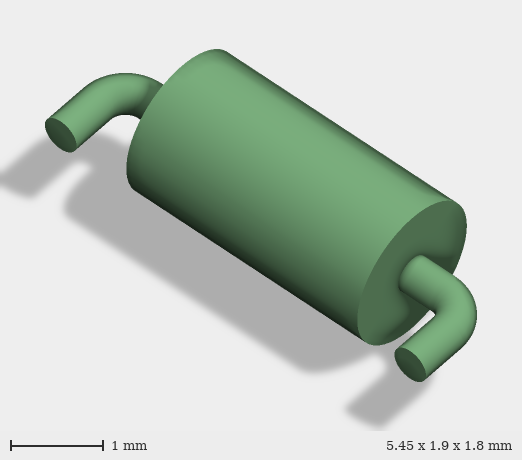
import cadquery as cq

overall_length = 5.45
body_diameter = 1.8
body_length = 3.3
lead_diameter = 0.45
bend_radius = 0.4
lead_reach = 1.005

lead_offset = (overall_length - lead_diameter) / 2
bend_start = lead_offset - bend_radius


def make_body():
    """Cylinder centred on the origin with its axis along X."""
    left_face = cq.Workplane("YZ", origin=(-body_length / 2, 0, 0))
    return left_face.circle(body_diameter / 2).extrude(body_length)


def make_lead():
    """Lead on the +X side, swept from the body centre to its tip."""
    path = (
        cq.Workplane("XY")
        .lineTo(bend_start, 0)
        .tangentArcPoint((lead_offset, -bend_radius), relative=False)
        .lineTo(lead_offset, -lead_reach)
    )
    return cq.Workplane("YZ").circle(lead_diameter / 2).sweep(path)


right_lead = make_lead()
left_lead = right_lead.mirror("YZ")
result = make_body().union(right_lead).union(left_lead)